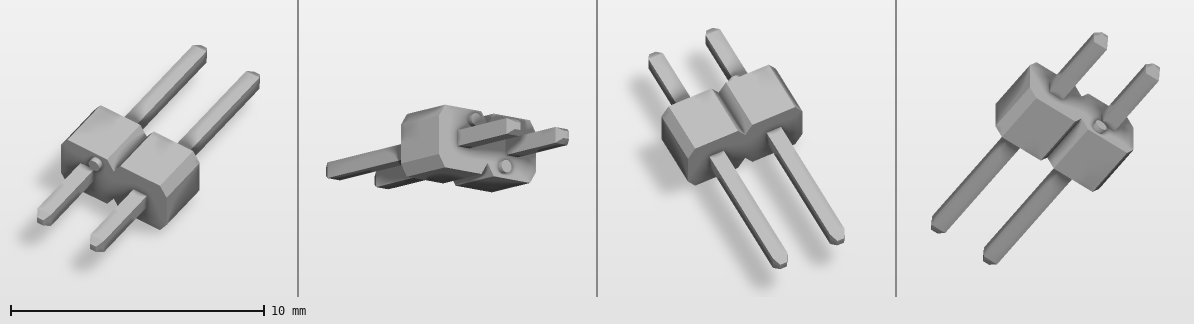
import cadquery as cq

pin_count = 2
pitch = 2.54
body_height = 2.54
body_depth = 2.31
corner_x = 0.32
corner_z = 0.49

pin_length = 11.43
pin_front_reach = 3.29
pin_width = 0.64
tip_width = 0.3
tip_length = 0.3

peg_diameter = 0.51
peg_height = 0.24
peg_x = 0.79
peg_z = 0.83

pin_positions = [(i - (pin_count - 1) / 2) * pitch for i in range(pin_count)]


def make_housing(x):
    """Octagonal block around one pin, with its front face at Y = 0."""
    half_width = pitch / 2
    half_height = body_height / 2
    flat_x = half_width - corner_x
    flat_z = half_height - corner_z
    outline = [
        (-half_width, -flat_z),
        (-flat_x, -half_height),
        (flat_x, -half_height),
        (half_width, -flat_z),
        (half_width, flat_z),
        (flat_x, half_height),
        (-flat_x, half_height),
        (-half_width, flat_z),
    ]
    block = cq.Workplane("XZ").polyline(outline).close().extrude(-body_depth)
    return block.translate((x, 0, 0))


def make_tip(x, base_y, direction):
    """Square frustum narrowing along Y in the given direction (+1 or -1)."""
    return (
        cq.Workplane("XZ", origin=(x, base_y, 0))
        .rect(pin_width, pin_width)
        .workplane(offset=-direction * tip_length)
        .rect(tip_width, tip_width)
        .loft(ruled=True)
    )


def make_pin(x):
    """Square pin with a tapered tip at each end."""
    shank_front = -pin_front_reach + tip_length
    shank_length = pin_length - 2 * tip_length
    shank = (
        cq.Workplane("XZ", origin=(x, shank_front, 0))
        .rect(pin_width, pin_width)
        .extrude(-shank_length)
    )
    front_tip = make_tip(x, shank_front, -1)
    back_tip = make_tip(x, shank_front + shank_length, 1)
    return shank.union(front_tip).union(back_tip)


result = make_housing(pin_positions[0])
for x in pin_positions[1:]:
    result = result.union(make_housing(x))

for x in pin_positions:
    result = result.union(make_pin(x))

pegs = (
    cq.Workplane("XZ")
    .pushPoints([(-peg_x, peg_z), (peg_x, -peg_z)])
    .circle(peg_diameter / 2)
    .extrude(peg_height)
)
result = result.union(pegs).clean()